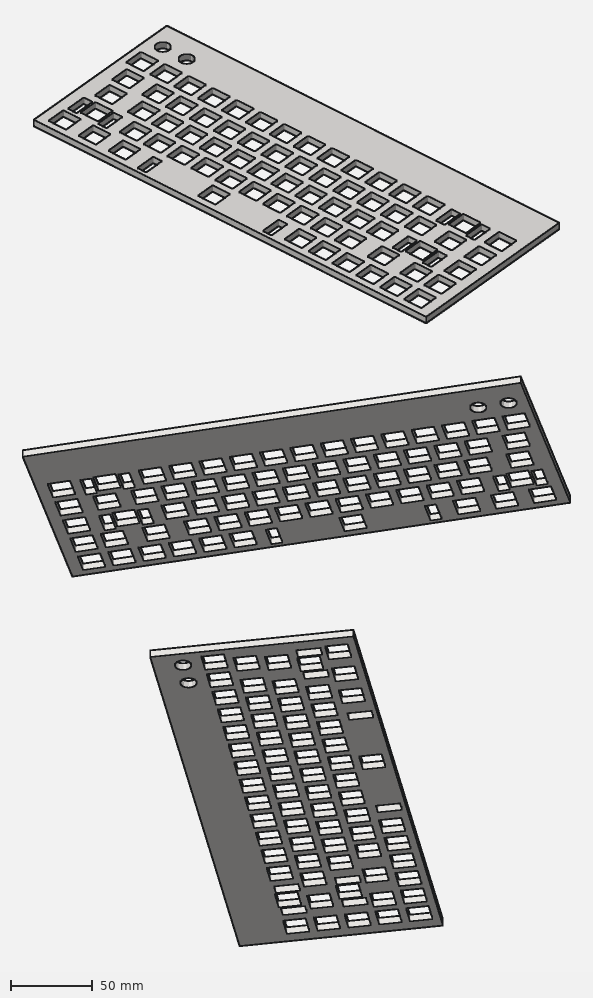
import cadquery as cq

PLATE_LENGTH = 313.0
PLATE_WIDTH = 126.0
PLATE_THICKNESS = 5.0

KEY_UNIT = 19.05
GRID_LEFT_MARGIN = 2.65
GRID_BOTTOM_MARGIN = 2.5

SWITCH_SIZE = 14.0
CORNER_RADIUS = 0.5

STABILIZER_WIDTH = 7.0
STABILIZER_LENGTH = 15.0
STABILIZER_DROP = 1.5
STABILIZER_OFFSET = 11.94
SPACEBAR_STABILIZER_OFFSET = 50.0
STABILIZED_KEY_WIDTH = 2.0
SPACEBAR_WIDTH = 6.25

ROUND_HOLE_DIAMETER = 9.94
ROUND_HOLE_COUNT = 2
ROUND_HOLE_BACK_MARGIN = 18.3

KEY_ROWS = [
    [1.25] * 3 + [SPACEBAR_WIDTH] + [1.0] * 6,
    [2.25] + [1.0] * 10 + [1.75] + [1.0] * 2,
    [1.75] + [1.0] * 11 + [2.25] + [1.0],
    [1.5] + [1.0] * 12 + [1.5] + [1.0],
    [1.0] * 13 + [2.0] + [1.0],
]


def grid_point(column, row):
    """Plate position of a point given in key units from the grid's lower left corner."""
    x = -PLATE_LENGTH / 2 + GRID_LEFT_MARGIN + column * KEY_UNIT
    y = -PLATE_WIDTH / 2 + GRID_BOTTOM_MARGIN + row * KEY_UNIT
    return x, y


def key_centers():
    """List the centre and the width in key units of every key."""
    keys = []
    for row, widths in enumerate(KEY_ROWS):
        left = 0.0
        for width in widths:
            keys.append((grid_point(left + width / 2, row + 0.5), width))
            left += width
    return keys


def stabilizer_centers(keys):
    """Centres of the stabilizer pairs of all wide keys."""
    centers = []
    for (x, y), width in keys:
        if width < STABILIZED_KEY_WIDTH:
            continue
        offset = SPACEBAR_STABILIZER_OFFSET if width == SPACEBAR_WIDTH else STABILIZER_OFFSET
        for side in (-1, 1):
            centers.append((x + side * offset, y - STABILIZER_DROP))
    return centers


def rectangular_cutters(centers, width, length):
    """Plate-high blocks with rounded vertical edges at the given centres."""
    blocks = cq.Workplane("XY").pushPoints(centers).rect(width, length).extrude(PLATE_THICKNESS)
    return blocks.edges("|Z").fillet(CORNER_RADIUS)


def round_cutters():
    """Plate-high cylinders near the back edge, in line with the first keys of the top row."""
    y = PLATE_WIDTH / 2 - ROUND_HOLE_BACK_MARGIN
    top_row_keys = key_centers()[-len(KEY_ROWS[-1]):]
    centers = [(x, y) for (x, _), _ in top_row_keys[:ROUND_HOLE_COUNT]]
    return cq.Workplane("XY").pushPoints(centers).circle(ROUND_HOLE_DIAMETER / 2).extrude(PLATE_THICKNESS)


keys = key_centers()
switch_centers = [center for center, _ in keys]

plate = cq.Workplane("XY").box(PLATE_LENGTH, PLATE_WIDTH, PLATE_THICKNESS, centered=(True, True, False))
plate = plate.cut(rectangular_cutters(switch_centers, SWITCH_SIZE, SWITCH_SIZE))
plate = plate.cut(rectangular_cutters(stabilizer_centers(keys), STABILIZER_WIDTH, STABILIZER_LENGTH))
result = plate.cut(round_cutters())